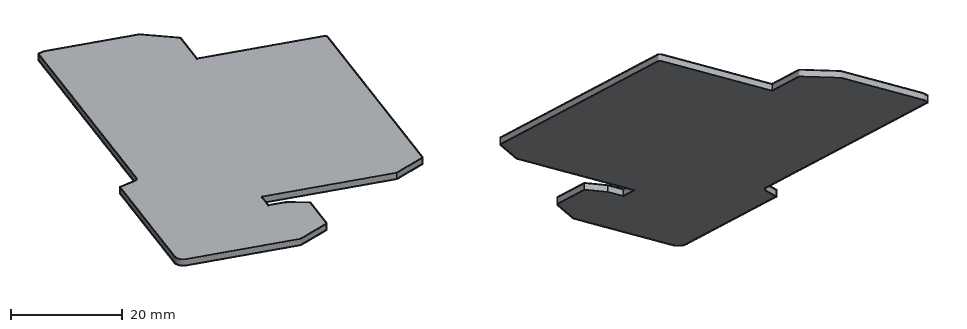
import cadquery as cq

length = 82.5
width = 54.8
thickness = 1.3

small_corner_radius = 0.5

body_left = 12.2
body_right = 65.2
body_bevel_x = 3.8
body_bevel_y = 6.35

shoulder_y = 29.95
shoulder_bevel_x = 3.8
shoulder_bevel_y = 6.4

notch_right = 68.55
notch_floor_y = 22.5
notch_lead_in_x = 1.6
notch_lead_in_y = 4.05

foot_height = 4.0
foot_left = 52.8
foot_slope_x = 1.5
foot_corner_radius = 1.65
foot_slope_radius = 1.0
left_corner_x = 0.5
left_corner_y = 1.3

outline = [
    (left_corner_x, foot_height),
    (foot_left - foot_slope_x, foot_height),
    (foot_left, 0),
    (length, 0),
    (length, shoulder_y - shoulder_bevel_y),
    (length - shoulder_bevel_x, shoulder_y),
    (notch_right + notch_lead_in_x, shoulder_y),
    (notch_right, shoulder_y - notch_lead_in_y),
    (notch_right, notch_floor_y),
    (body_right, notch_floor_y),
    (body_right, width - body_bevel_y),
    (body_right - body_bevel_x, width),
    (body_left, width),
    (body_left, shoulder_y),
    (shoulder_bevel_x, shoulder_y),
    (0, shoulder_y - shoulder_bevel_y),
    (0, foot_height + left_corner_y),
]
plate = cq.Workplane("XY").polyline(outline).close().extrude(thickness)


def round_corner(solid, x, y, radius):
    """Round the upright edge nearest to the outline corner (x, y)."""
    corner = cq.selectors.NearestToPointSelector((x, y, thickness / 2))
    return solid.edges("|Z").edges(corner).fillet(radius)


small_corners = [
    (body_left, width),
    (shoulder_bevel_x, shoulder_y),
    (length - shoulder_bevel_x, shoulder_y),
    (0, shoulder_y - shoulder_bevel_y),
    (length, shoulder_y - shoulder_bevel_y),
    (0, foot_height + left_corner_y),
]
for corner_x, corner_y in small_corners:
    plate = round_corner(plate, corner_x, corner_y, small_corner_radius)
plate = round_corner(plate, foot_left - foot_slope_x, foot_height, foot_slope_radius)
plate = round_corner(plate, length, 0, foot_corner_radius)

result = plate